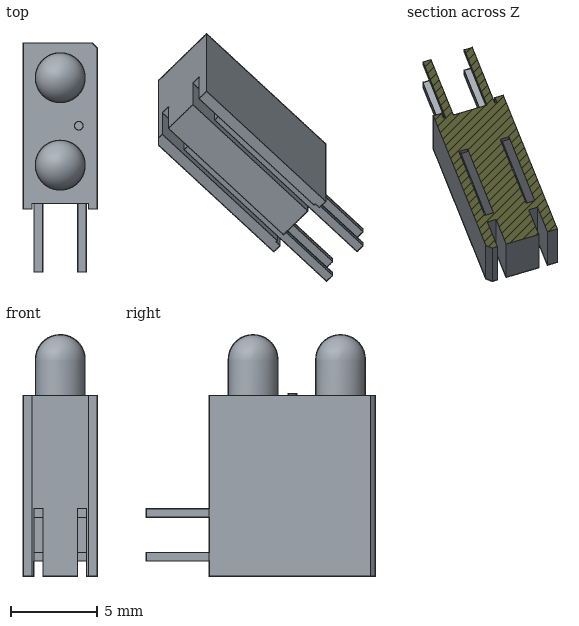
import cadquery as cq

housing_width = 4.32
housing_height = 10.52
housing_length = 9.67
corner_chamfer = 0.3

flange_width = 0.53
channel_depth = 0.33

lens_pitch = 5.08
lens_radius = 1.45
lens_height = 3.53
rear_lens_setback = 2.03

dot_radius = 0.25
dot_height = 0.1
dot_x = 1.08
dot_y = 4.85

lead_size = 0.51
lead_pitch = 2.54
lead_reach = 3.66
lower_lead_z = 1.14
upper_lead_z = lower_lead_z + lead_pitch

rear_lens_y = housing_length - rear_lens_setback
front_lens_y = rear_lens_y - lens_pitch
slot_top = upper_lead_z + lead_size / 2
lead_columns = (-lead_pitch / 2, lead_pitch / 2)


def box_between(x_centre, x_size, y_range, z_range):
    """Box centred on x_centre that spans the given Y and Z ranges."""
    y_size = y_range[1] - y_range[0]
    z_size = z_range[1] - z_range[0]
    corner = (x_centre - x_size / 2, y_range[0], z_range[0])
    return cq.Workplane("XY").box(x_size, y_size, z_size, centered=False).translate(corner)


def make_housing():
    """Block with one chamfered rear corner, a front channel and two lead slots open below."""
    block = box_between(0, housing_width, (0, housing_length), (0, housing_height))
    block = block.edges("|Z and >X and >Y").chamfer(corner_chamfer)
    channel_width = housing_width - 2 * flange_width
    block = block.cut(box_between(0, channel_width, (0, channel_depth), (0, housing_height)))
    for x in lead_columns:
        block = block.cut(box_between(x, lead_size, (0, housing_length), (0, slot_top)))
    return block


def make_lens(y):
    """Domed lens standing on the top face."""
    dome_base = lens_height - lens_radius
    profile = (
        cq.Workplane("XZ")
        .lineTo(lens_radius, 0)
        .lineTo(lens_radius, dome_base)
        .radiusArc((0, lens_height), -lens_radius)
        .close()
    )
    return profile.revolve(360, (0, 0), (0, 1)).translate((0, y, housing_height))


def make_dot():
    """Low round dot that marks polarity."""
    return cq.Workplane("XY").circle(dot_radius).extrude(dot_height).translate((dot_x, dot_y, housing_height))


def make_lead(x, z, bend_y):
    """Lead that runs back from its tip to bend_y, then turns up to the slot roof."""
    half = lead_size / 2
    run = box_between(x, lead_size, (-lead_reach, bend_y + half), (z - half, z + half))
    riser = box_between(x, lead_size, (bend_y - half, bend_y + half), (z - half, slot_top))
    return run.union(riser)


result = make_housing().union(make_dot())
for lens_y in (rear_lens_y, front_lens_y):
    result = result.union(make_lens(lens_y))
for lead_x in lead_columns:
    result = result.union(make_lead(lead_x, lower_lead_z, rear_lens_y))
    result = result.union(make_lead(lead_x, upper_lead_z, front_lens_y))